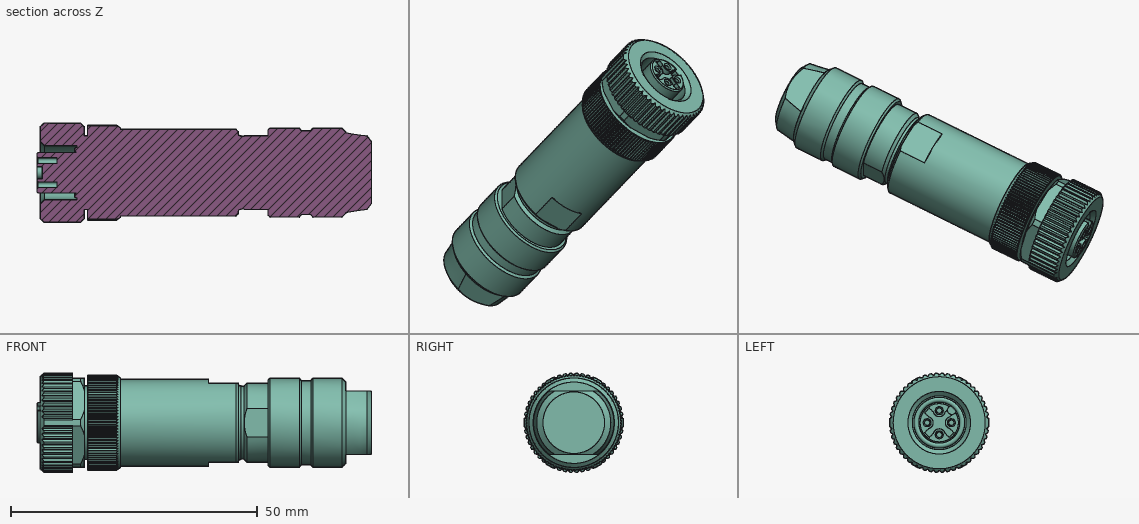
import cadquery as cq
import math


nut_start, grip_start, grip_end, nut_end = 0.7, 1.4, 7.25, 9.65
nut_diameter = 20.2
nut_face_diameter = nut_diameter - 2 * (grip_start - nut_start)
nut_across_flats = 18.05
nut_back_chamfer = 0.75
nut_tooth_count = 52
nut_tooth_height = 0.4
nut_tip_share = 0.33
nut_land_width = 1.1
nut_thread_diameter = 10.9
nut_mouth_diameter = 12.7
socket_depth = 8.15

insert_diameter = 8.3
insert_chamfer = 0.3
seal_section_diameter = 1.0
contact_count = 4
contact_circle_radius = 2.45
contact_bore_diameter = 1.1
contact_mouth_diameter = 1.6
contact_depth = 4.1
contact_pad_diameter = 2.45
channel_width = 1.35
channel_length = 7.05
channel_depth = 1.1
key_angle = 45
key_diameter = 1.75
key_circle_radius = 3.6

ring_start, ring_end, ring_chamfer_end = 10.25, 16.1, 17.0
ring_diameter = 19.4
ring_back_diameter = 18.2
ring_front_chamfer = 0.2
ring_tooth_count = 96
ring_tooth_height = 0.24
ring_tip_share = 0.25

front_neck_diameter = 15.0
body_diameter = 17.7
body_chamfer_start, body_end = 40.4, 40.9
body_end_diameter = 16.7
body_flat_start = 34.8
body_across_flats = 16.1
rear_neck_diameter = 15.0
rear_neck_fillet = 0.4
neck_groove_start, collar_start = 41.35, 41.95
neck_groove_diameter = 14.8

collar_diameter = 16.1
collar_chamfer = (collar_diameter - neck_groove_diameter) / 2
collar_across_flats = 15.0

gland_start, gland_groove_start, gland_groove_end, gland_end = 46.85, 53.65, 55.55, 62.7
gland_diameter = 18.1
gland_groove_diameter = 17.1
gland_edge_chamfer = 0.4
gland_back_chamfer = 0.8

tail_end = 67.9
tail_start_diameter, tail_edge_diameter, tail_end_diameter = 16.3, 15.0, 12.5
tail_edge_start = 66.95
tail_across_flats = 12.9


def revolved(stations):
    """Solid of revolution about X through (x, diameter) stations, closed on the axis."""
    outline = [(stations[0][0], 0)]
    outline += [(x, diameter / 2) for x, diameter in stations]
    outline += [(stations[-1][0], 0)]
    return cq.Workplane("XY").polyline(outline).close().revolve(360, (0, 0), (1, 0))


def section_plane(x):
    """Sketch plane across the axis: local x is Y, local y is Z, extrusion runs toward +X."""
    return cq.Workplane("YZ", origin=(x, 0, 0))


def cylinder(diameter, start, end):
    return section_plane(start).circle(diameter / 2).extrude(end - start)


def toothed_bar(diameter, height, count, tip_share, start, end):
    """Bar with V grooves between flat-topped teeth; a groove is centred on Y.

    tip_share is the part of the tooth pitch taken by the tooth top.
    """
    pitch = 2 * math.pi / count
    tip_radius = diameter / 2
    points = []
    for index in range(count):
        groove_angle = index * pitch
        for radius, offset in (
            (tip_radius - height, 0),
            (tip_radius, (1 - tip_share) / 2),
            (tip_radius, (1 + tip_share) / 2),
        ):
            angle = groove_angle + offset * pitch
            points.append((radius * math.cos(angle), radius * math.sin(angle)))
    return section_plane(start).polyline(points).close().extrude(end - start)


def flat_pair_cutter(start, end, across_flats, normal):
    """Two blocks that leave the stock across_flats wide along the given axis."""
    stock = 2 * nut_diameter
    slab = (stock, across_flats) if normal == "Z" else (across_flats, stock)
    blocks = section_plane(start).rect(stock, stock).extrude(end - start)
    return blocks.cut(section_plane(start).rect(*slab).extrude(end - start))


def coupling_nut():
    grip = toothed_bar(nut_diameter, nut_tooth_height, nut_tooth_count, nut_tip_share, nut_start, grip_end)
    hexagon_corners = nut_across_flats / math.cos(math.pi / 6)
    hexagon = section_plane(grip_end).polygon(6, hexagon_corners).extrude(nut_end - grip_end)
    lands = section_plane(nut_start).rect(hexagon_corners, nut_land_width).extrude(grip_end - nut_start)
    envelope = revolved([
        (nut_start, nut_face_diameter),
        (grip_start, nut_diameter),
        (nut_end - nut_back_chamfer, nut_diameter),
        (nut_end, nut_diameter - 2 * nut_back_chamfer),
    ])
    mouth_depth = (nut_mouth_diameter - nut_thread_diameter) / 2
    socket = revolved([
        (nut_start, nut_mouth_diameter),
        (nut_start + mouth_depth, nut_thread_diameter),
        (socket_depth, nut_thread_diameter),
    ])
    return grip.union(lands).union(hexagon).intersect(envelope).cut(socket)


def contact_insert():
    insert = cylinder(insert_diameter, 0, nut_end).faces("<X").chamfer(insert_chamfer)

    contact_spots = section_plane(0).polarArray(contact_circle_radius, 0, 360, contact_count)
    channels = section_plane(0).circle(contact_circle_radius - channel_width / 2).extrude(channel_depth)
    for angle in (key_angle, key_angle + 90):
        arm = section_plane(0).rect(channel_length, channel_width).extrude(channel_depth)
        channels = channels.union(arm.rotate((0, 0, 0), (1, 0, 0), angle))
    channels = channels.cut(contact_spots.circle(contact_pad_diameter / 2).extrude(channel_depth))
    insert = insert.cut(channels)

    mouth_depth = (contact_mouth_diameter - contact_bore_diameter) / 2
    bore = revolved([
        (0, contact_mouth_diameter),
        (mouth_depth, contact_bore_diameter),
        (contact_depth, contact_bore_diameter),
    ]).translate((0, contact_circle_radius, 0))
    for index in range(contact_count):
        insert = insert.cut(bore.rotate((0, 0, 0), (1, 0, 0), index * 360 / contact_count))

    key = cylinder(key_diameter, 0, socket_depth).translate((0, -key_circle_radius, 0))
    return insert.cut(key.rotate((0, 0, 0), (1, 0, 0), -key_angle))


def seal():
    """Sealing ring around the insert, half sunk in the socket floor."""
    section_radius = seal_section_diameter / 2
    centre_radius = insert_diameter / 2 + section_radius
    section = cq.Workplane("XY").center(socket_depth, centre_radius).circle(section_radius)
    return section.revolve(360, (0, -centre_radius), (1, -centre_radius))


def clamping_ring():
    teeth = toothed_bar(
        ring_diameter, ring_tooth_height, ring_tooth_count, ring_tip_share, ring_start, ring_chamfer_end
    )
    envelope = revolved([
        (ring_start, ring_diameter - 2 * ring_front_chamfer),
        (ring_start + ring_front_chamfer, ring_diameter),
        (ring_end, ring_diameter),
        (ring_chamfer_end, ring_back_diameter),
    ])
    return teeth.intersect(envelope)


def body():
    sleeve = revolved([
        (ring_start, body_diameter),
        (body_chamfer_start, body_diameter),
        (body_end, body_end_diameter),
        (body_end, rear_neck_diameter),
        (neck_groove_start, rear_neck_diameter),
    ])
    neck_edges = sleeve.edges("%CIRCLE").edges(cq.selectors.RadiusNthSelector(0))
    sleeve = neck_edges.edges("<X").fillet(rear_neck_fillet)
    sleeve = sleeve.cut(flat_pair_cutter(body_flat_start, body_end, body_across_flats, "Z"))
    front_neck = cylinder(front_neck_diameter, socket_depth, ring_start)
    neck_groove = cylinder(neck_groove_diameter, neck_groove_start, collar_start)
    return sleeve.union(front_neck).union(neck_groove)


def collar():
    stock = revolved([
        (collar_start, collar_diameter - 2 * collar_chamfer),
        (collar_start + collar_chamfer, collar_diameter),
        (gland_start, collar_diameter),
    ])
    return stock.cut(flat_pair_cutter(collar_start, gland_start, collar_across_flats, "Y"))


def gland_nut():
    edge_diameter = gland_diameter - 2 * gland_edge_chamfer
    return revolved([
        (gland_start, edge_diameter),
        (gland_start + gland_edge_chamfer, gland_diameter),
        (gland_groove_start - gland_edge_chamfer, gland_diameter),
        (gland_groove_start, gland_groove_diameter),
        (gland_groove_end, gland_groove_diameter),
        (gland_groove_end + gland_edge_chamfer, gland_diameter),
        (gland_end - gland_back_chamfer, gland_diameter),
        (gland_end, gland_diameter - 2 * gland_back_chamfer),
    ])


def tail():
    stock = revolved([
        (gland_end, tail_start_diameter),
        (tail_edge_start, tail_edge_diameter),
        (tail_end, tail_end_diameter),
    ])
    return stock.cut(flat_pair_cutter(gland_end, tail_end, tail_across_flats, "Z"))


result = coupling_nut()
for piece in (contact_insert(), body(), seal(), clamping_ring(), collar(), gland_nut(), tail()):
    result = result.union(piece)